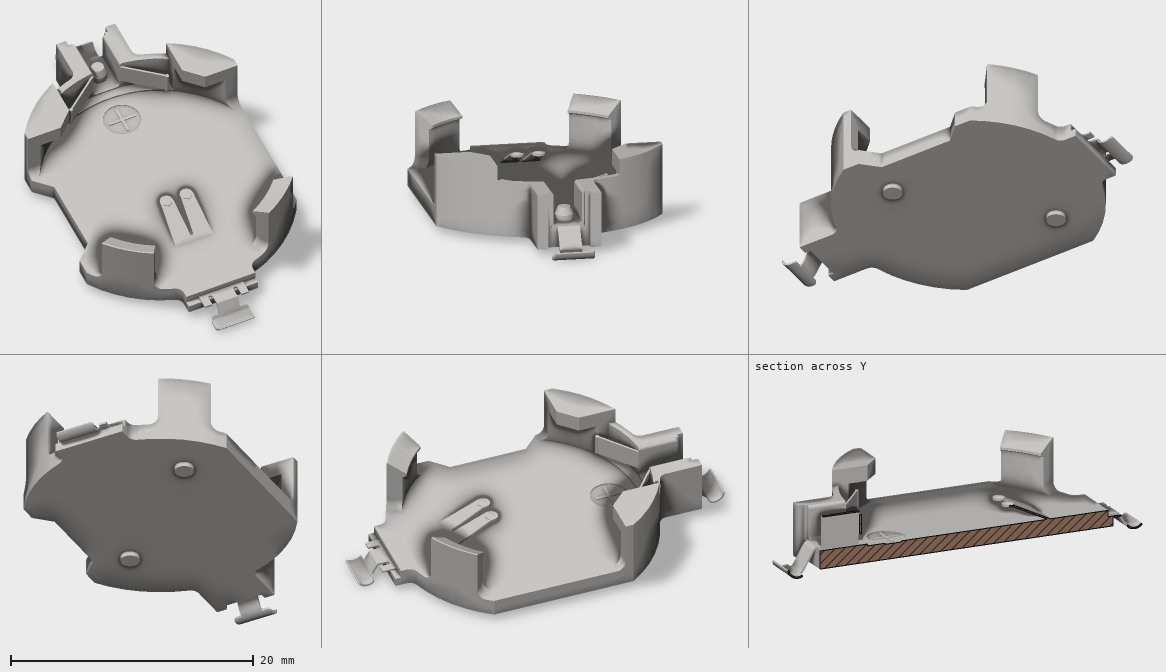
import cadquery as cq
import math

body_radius = 11.35
cell_radius = 10.02
body_width = 19.05
body_half_width = body_width / 2
floor_top = 1.45
wall_top = 4.65
clip_top = 6.0
foot_fillet_radius = 0.78
corner_fillet_radius = 0.78

notch_half_length = 3.33
notch_depth = 1.4

arm_end_x = -14.8
arm_half_width = 2.68
mouth_half_width = 1.78
mouth_end_x = -14.3
channel_half_width = 1.42
channel_floor = 1.6
relief_radius = 10.8

wall_end_x = -5.45
clip_inner_y = 5.15
clip_chamfer = 1.42

hook_start_angle = 27.3
hook_end_angle = 49.9
hook_tip_radius = 9.65
hook_crest_radius = 11.2
hook_tip_top = 5.05
hook_tip_bottom = 4.8

tab_half_width = 3.15
tab_end_x = 12.45
ledge_start_x = 11.95
ledge_top = 0.75

recess_x = -7.6
recess_radius = 1.58
recess_depth = 0.1
plus_length = 2.42
plus_width = 0.23

peg_radius = 0.8
peg_length = 0.42
peg_centres = [(-4.17, -5.1), (5.33, 5.1)]

sheet = 0.15
lead_bottom = -0.52
neck_half_width = 0.95
foot_half_width = 1.7
foot_corner_radius = 0.25

left_foot_end_x = -17.23
left_foot_start_x = -15.85
left_foot_low_x = -16.32
left_foot_end_z = 0.23
left_bend_x = -14.3
left_bend_offset = (-0.32, -0.2)
left_slope_end = (-15.48, 0.03)
right_foot_end_x = 15.1
right_foot_start_x = 13.7
right_foot_low_x = 14.35
right_foot_end_z = -0.2
right_bend_x = 13.15
right_slope_end = (13.8, -0.23)

side_plate_inner_y = 1.2
side_flange_outer_y = 1.7
floor_bend_radius = 0.25
flange_bend_radius = 0.3
side_plate_start_x = -14.05
side_plate_end_x = -10.7
wing_tip = (-8.2, 4.35)
wing_bottom = 2.52
wing_top = 4.27

rivet_x = -12.45
rivet_radius = 0.78
rivet_crown_radius = 0.52
rivet_shoulder_z = 2.33
rivet_top = 2.97

tail_half_width = 2.0
tail_slot_outer_y = 1.33
tail_slot_start_x = 12.22

finger_root_x = 6.72
finger_knee_x = 3.33
finger_tip_x = 2.6
finger_tip_z = 3.05
finger_tip_radius = 0.55
finger_centre_y = 0.9
finger_slot_end_x = 6.25
finger_slot_end_half_width = 0.13
dome_x = 3.23
dome_radius = 0.42
dome_height = 0.1


def box(x0, x1, y0, y1, z0, z1):
    """Axis-aligned block between the given limits."""
    return cq.Workplane("XY").box(x1 - x0, y1 - y0, z1 - z0, centered=False).translate((x0, y0, z0))


def cylinder(radius, z0, z1, x=0, y=0):
    """Vertical cylinder."""
    return cq.Workplane("XY").workplane(offset=z0).center(x, y).circle(radius).extrude(z1 - z0)


def prism(points, z0, z1):
    """Vertical prism over a closed polygon."""
    return cq.Workplane("XY").workplane(offset=z0).polyline(points).close().extrude(z1 - z0)


def both_sides(solid):
    """The solid together with its mirror image across Y = 0."""
    return solid.union(solid.mirror("XZ"))


def bent_sheet(path, half_width):
    """Sheet of constant thickness following an open centre line in the XZ plane."""
    return path.offset2D(sheet / 2).extrude(half_width, both=True)


def foot_fillet(angle, sign):
    """Concave fillet between the floor and an upright face that contains a ray at the given angle."""
    r = foot_fillet_radius
    return (
        cq.Workplane("YZ")
        .lineTo(sign * r, 0)
        .radiusArc((0, r), sign * r)
        .close()
        .extrude(body_radius + r)
        .rotate((0, 0, 0), (0, 0, 1), angle)
        .translate((0, 0, floor_top))
    )


def body_outline(height):
    """Full plan of the holder: flattened disc, arm block and tab."""
    disc = cylinder(body_radius, 0, height)
    disc = disc.intersect(
        box(-body_radius, body_radius, -body_half_width, body_half_width, 0, height)
    )
    arms = box(arm_end_x, 0, -arm_half_width, arm_half_width, 0, height)
    tab = box(0, tab_end_x, -tab_half_width, tab_half_width, 0, height)
    arm_joint_x = -math.sqrt(body_radius**2 - arm_half_width**2)
    tab_joint_x = math.sqrt(body_radius**2 - tab_half_width**2)
    outline = disc.union(arms).union(tab)
    search = corner_fillet_radius / 2
    for joint_x, joint_y in ((arm_joint_x, arm_half_width), (tab_joint_x, tab_half_width)):
        for y in (-joint_y, joint_y):
            corner = cq.selectors.BoxSelector(
                (joint_x - search, y - search, 0), (joint_x + search, y + search, height)
            )
            outline = outline.edges("|Z").edges(corner).fillet(corner_fillet_radius)
    return outline


full_outline = body_outline(clip_top)
ring = cylinder(body_radius, 0, clip_top).cut(cylinder(cell_radius, 0, clip_top))
ring = ring.intersect(full_outline)


def floor_plate():
    """Floor of the holder with its edge notch and the stepped tab."""
    notch_outer = notch_half_length + notch_depth
    notch = prism(
        [
            (-notch_outer, -body_half_width),
            (-notch_half_length, notch_depth - body_half_width),
            (notch_half_length, notch_depth - body_half_width),
            (notch_outer, -body_half_width),
        ],
        0,
        floor_top,
    )
    ledge_step = box(
        ledge_start_x, tab_end_x, -tab_half_width, tab_half_width, ledge_top, floor_top
    )
    return body_outline(floor_top).cut(notch).cut(ledge_step)


def left_wall():
    """Curved wall and arms, with the contact channel and the relief for the contact wings."""
    wall = full_outline.intersect(
        box(arm_end_x, wall_end_x, -body_half_width, body_half_width, 0, wall_top)
    )
    wall = wall.cut(cylinder(cell_radius, floor_top, wall_top))
    relief = cylinder(relief_radius, channel_floor, wall_top).intersect(
        box(-body_radius, 0, -clip_inner_y, clip_inner_y, channel_floor, wall_top)
    )
    channel = box(
        arm_end_x, -cell_radius, -channel_half_width, channel_half_width, channel_floor, wall_top
    )
    return wall.cut(relief).cut(channel)


def arm_mouth():
    """Full-height recess between the arm ends, where the left lead comes out."""
    return box(arm_end_x, mouth_end_x, -mouth_half_width, mouth_half_width, 0, wall_top)


def left_clips():
    """Overhanging clip plates with a bevelled inner corner, and the fillets at the wall ends."""
    clip_plan = prism(
        [
            (-body_radius, clip_inner_y),
            (wall_end_x - clip_chamfer, clip_inner_y),
            (wall_end_x, clip_inner_y + clip_chamfer),
            (wall_end_x, body_half_width),
            (-body_radius, body_half_width),
        ],
        wall_top,
        clip_top,
    )
    clip = full_outline.intersect(clip_plan)
    fillet = foot_fillet(90, -1).translate((wall_end_x, 0, 0)).intersect(ring)
    return both_sides(clip.union(fillet))


def right_hooks():
    """Snap hooks swept about the cell axis, each with a sloped lead-in and fillets at its foot."""
    hook_blank_radius = 1.1 * body_radius
    hook = (
        cq.Workplane("XZ")
        .polyline(
            [
                (cell_radius, floor_top),
                (hook_blank_radius, floor_top),
                (hook_blank_radius, clip_top),
                (hook_crest_radius, clip_top),
                (hook_tip_radius, hook_tip_top),
                (hook_tip_radius, hook_tip_bottom),
                (cell_radius, wall_top),
            ]
        )
        .close()
        .revolve(hook_end_angle - hook_start_angle, (0, 0, 0), (0, -1, 0))
        .rotate((0, 0, 0), (0, 0, 1), hook_end_angle)
        .intersect(full_outline)
    )
    fillets = foot_fillet(hook_start_angle, -1).union(foot_fillet(hook_end_angle, 1))
    return both_sides(hook.union(fillets.intersect(ring)))


def polarity_recess():
    """Round pocket around a plus-shaped rib that stays level with the floor."""
    pocket = cylinder(recess_radius, floor_top - recess_depth, floor_top)
    for length_x, length_y in ((plus_length, plus_width), (plus_width, plus_length)):
        bar = cq.Workplane("XY").box(length_x, length_y, 2 * floor_top)
        pocket = pocket.cut(bar)
    return pocket.translate((recess_x, 0, 0))


def pegs():
    """Locating pegs, diagonally opposite each other."""
    solid = cq.Workplane("XY")
    for x, y in peg_centres:
        solid = solid.union(cylinder(peg_radius, -peg_length, 0, x, y))
    return solid


def foot_plan(neck_x, start_x, end_x):
    """T-shaped plan of a solder lead: a narrow neck and a wide foot with rounded corners."""
    neck_min, neck_max = sorted((neck_x, end_x))
    foot_min, foot_max = sorted((start_x, end_x))
    neck = box(neck_min, neck_max, -neck_half_width, neck_half_width, lead_bottom, clip_top)
    foot = box(foot_min, foot_max, -foot_half_width, foot_half_width, lead_bottom, clip_top)
    return neck.union(foot.edges("|Z").fillet(foot_corner_radius))


def left_lead():
    """Lead that leaves the channel floor, slopes down and curls up at its end."""
    plate_z = channel_floor + sheet / 2
    foot_low = (left_foot_low_x, lead_bottom + sheet / 2)
    foot_end = (left_foot_end_x + sheet / 2, left_foot_end_z)
    path = (
        cq.Workplane("XZ")
        .moveTo(side_plate_end_x - sheet, plate_z)
        .lineTo(left_bend_x, plate_z)
        .tangentArcPoint(left_bend_offset)
        .lineTo(*left_slope_end)
        .threePointArc(foot_low, foot_end)
    )
    plan = foot_plan(side_plate_end_x, left_foot_start_x, left_foot_end_x)
    return bent_sheet(path, foot_half_width).intersect(plan)


def right_lead():
    """Lead that leaves the ledge, slopes down and curls up at its end."""
    plate_z = ledge_top + sheet / 2
    foot_low = (right_foot_low_x, lead_bottom + sheet / 2)
    foot_end = (right_foot_end_x - sheet / 2, right_foot_end_z)
    path = (
        cq.Workplane("XZ")
        .moveTo(ledge_start_x - sheet, plate_z)
        .lineTo(right_bend_x, plate_z)
        .lineTo(*right_slope_end)
        .threePointArc(foot_low, foot_end)
    )
    plan = foot_plan(ledge_start_x - sheet, right_foot_start_x, right_foot_end_x)
    return bent_sheet(path, foot_half_width).intersect(plan)


def right_tail():
    """Flat tail on the ledge with a blind slot on each side of the lead."""
    tail_top = ledge_top + sheet
    tail = box(
        ledge_start_x - sheet, right_bend_x, -tail_half_width, tail_half_width, ledge_top, tail_top
    )
    slot_radius = (tail_slot_outer_y - neck_half_width) / 2
    slot_y = neck_half_width + slot_radius
    slot_centre_x = tail_slot_start_x + slot_radius
    slot = box(
        slot_centre_x, right_bend_x, neck_half_width, tail_slot_outer_y, ledge_top, tail_top
    ).union(cylinder(slot_radius, ledge_top, tail_top, slot_centre_x, slot_y))
    return tail.cut(both_sides(slot))


def side_contact():
    """Channel contact: floor strip, upright side plates with top flanges, and splayed wings."""
    plate_outer_y = side_plate_inner_y + sheet
    strip = box(
        mouth_end_x, side_plate_end_x, -plate_outer_y, plate_outer_y,
        channel_floor, channel_floor + sheet,
    )
    plate = box(
        side_plate_start_x, side_plate_end_x, side_plate_inner_y, side_flange_outer_y,
        channel_floor, wall_top,
    )
    plate = plate.cut(
        box(
            side_plate_start_x, side_plate_end_x, plate_outer_y, side_flange_outer_y,
            channel_floor, wall_top - sheet,
        )
    )
    inner_bend = cq.selectors.NearestToPointSelector(
        ((side_plate_start_x + side_plate_end_x) / 2, side_plate_inner_y, wall_top)
    )
    plate = plate.edges("|X").edges(inner_bend).fillet(flange_bend_radius)
    floor_bend = (
        cq.Workplane("YZ")
        .workplane(offset=side_plate_start_x)
        .moveTo(side_plate_inner_y, channel_floor + sheet)
        .lineTo(side_plate_inner_y - floor_bend_radius, channel_floor + sheet)
        .radiusArc((side_plate_inner_y, channel_floor + sheet + floor_bend_radius), -floor_bend_radius)
        .close()
        .extrude(side_plate_end_x - side_plate_start_x)
    )
    plate = plate.union(floor_bend)
    wing = (
        cq.Workplane("XY")
        .workplane(offset=wing_bottom)
        .moveTo(side_plate_end_x - sheet, side_plate_inner_y + sheet / 2)
        .lineTo(side_plate_end_x, side_plate_inner_y + sheet / 2)
        .lineTo(*wing_tip)
        .offset2D(sheet / 2)
        .extrude(wing_top - wing_bottom)
    )
    wing = wing.union(cylinder(sheet, wing_bottom, wing_top, *wing_tip))
    return strip.union(both_sides(plate.union(wing)))


def rivet():
    """Rivet head with a conical crown, standing on the channel contact."""
    return (
        cq.Workplane("XZ")
        .polyline(
            [
                (0, channel_floor),
                (rivet_radius, channel_floor),
                (rivet_radius, rivet_shoulder_z),
                (rivet_crown_radius, rivet_top),
                (0, rivet_top),
            ]
        )
        .close()
        .revolve(360, (0, 0, 0), (0, 1, 0))
        .translate((rivet_x, 0, 0))
    )


def centre_fingers():
    """Two spring fingers that rise from the floor, each with a contact dome at its tip."""
    rise = (finger_tip_z + sheet / 2 - floor_top) / (finger_root_x - finger_knee_x)
    half_depth = sheet / 2 * math.sqrt(1 + rise**2)
    root_z = floor_top - half_depth
    embed = floor_top / 2
    path = (
        cq.Workplane("XZ")
        .moveTo(finger_root_x + embed, root_z - rise * embed)
        .lineTo(finger_knee_x, finger_tip_z)
        .lineTo(finger_tip_x, finger_tip_z)
    )
    tip_centre_x = finger_tip_x + finger_tip_radius
    tip_outer_y = finger_centre_y + finger_tip_radius
    tip_inner_y = finger_centre_y - finger_tip_radius
    blade_plan = prism(
        [
            (tip_centre_x, tip_inner_y),
            (finger_slot_end_x, finger_slot_end_half_width),
            (finger_slot_end_x, 0),
            (finger_root_x + embed, 0),
            (finger_root_x + embed, foot_half_width),
            (finger_root_x, foot_half_width),
            (tip_centre_x, tip_outer_y),
        ],
        0,
        clip_top,
    )
    tip_plan = cylinder(finger_tip_radius, 0, clip_top, tip_centre_x, finger_centre_y)
    fingers = bent_sheet(path, foot_half_width).intersect(both_sides(blade_plan.union(tip_plan)))
    finger_upper = finger_tip_z + sheet / 2
    sphere_radius = (dome_radius**2 + dome_height**2) / (2 * dome_height)
    dome = (
        cq.Workplane("XY")
        .sphere(sphere_radius)
        .translate((dome_x, finger_centre_y, finger_upper + dome_height - sphere_radius))
        .intersect(
            cylinder(dome_radius, finger_tip_z, finger_upper + dome_height, dome_x, finger_centre_y)
        )
    )
    return fingers.union(both_sides(dome))


parts = [
    left_clips(),
    right_hooks(),
    pegs(),
    left_lead(),
    right_lead(),
    right_tail(),
    side_contact(),
    rivet(),
    centre_fingers(),
]
result = floor_plate().union(left_wall()).cut(arm_mouth()).cut(polarity_recess())
for part in parts:
    result = result.union(part)